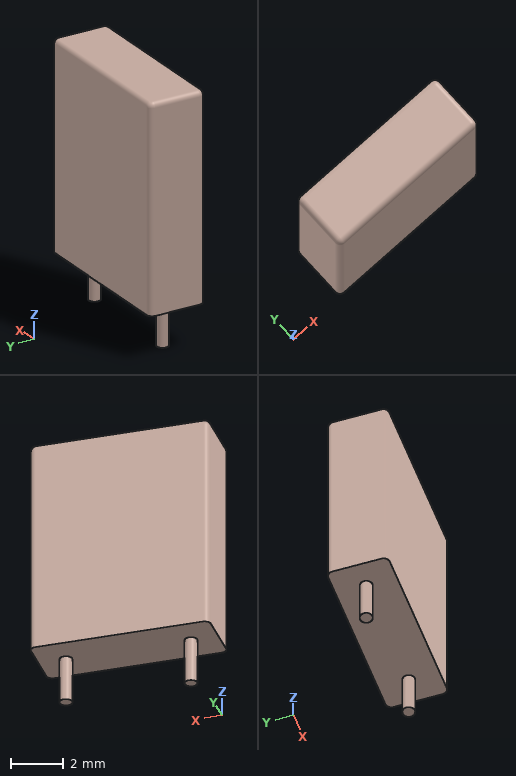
import cadquery as cq

total_height = 10.9
body_width = 7.2
body_depth = 2.5

pin_length = 1.9
pin_diameter = 0.5
pin_pitch = 5.0

body_height = total_height - pin_length
edge_radius = 0.25


def make_body():
    """Box standing on Z = 0, rounded on every edge except around its base."""
    box = cq.Workplane("XY").box(body_width, body_depth, body_height, centered=(True, True, False))
    return box.edges("|Z or >Z").fillet(edge_radius)


def make_pins():
    """Two round pins hanging from the base, spaced evenly about the centre."""
    return (
        cq.Workplane("XY")
        .rarray(pin_pitch, 0.11, 2, 1)
        .circle(pin_diameter / 2)
        .extrude(-pin_length)
    )


result = make_body().union(make_pins())